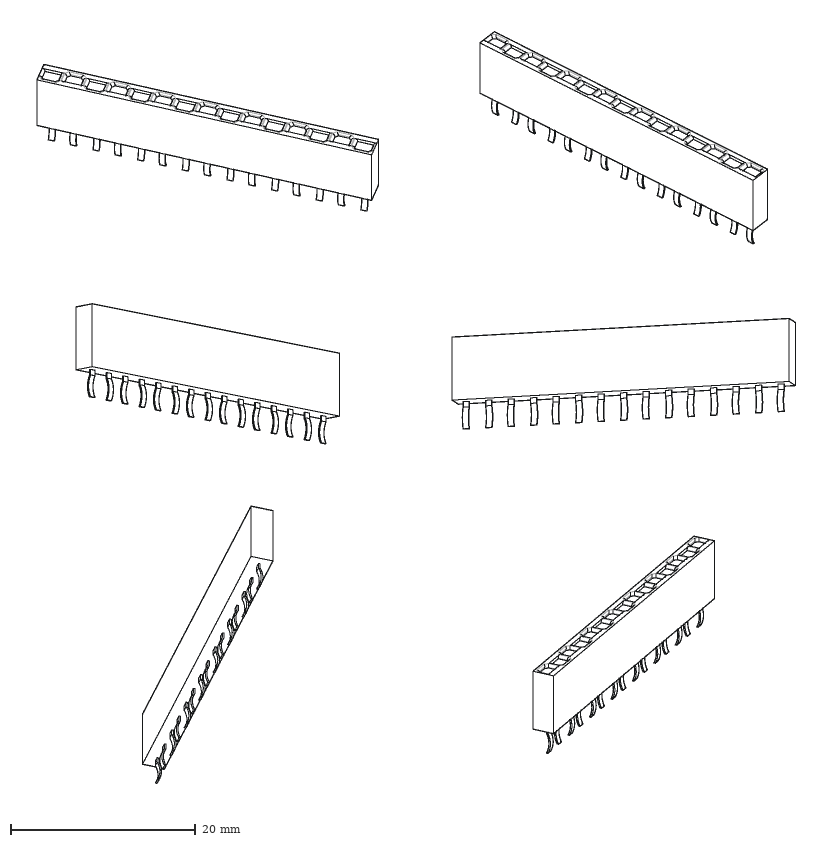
import cadquery as cq
import math

length = 38.1
width = 2.5
total_height = 10.0
pin_count = 15
pitch = length / pin_count

body_height = 6.97

ridge = 0.08
cell_half_length = (pitch - ridge) / 2
cell_plain_side = 0.6
rim_wall = 0.25
cell_flared_side = width / 2 - rim_wall
corner_cut = 0.4
end_radius = 0.3
side_radius = 0.2
cell_depth = 0.4

pin_width = 0.7
pin_thickness = 0.2
stem_length = 0.6
pin_bow = 0.3
pin_tip = body_height - total_height


def make_flared_space(rim_distance, radius, outward_angle):
    """Space inside one wall whose top edge is rounded out to rim_distance, with its rim at Z = 0.

    The wall faces the direction outward_angle, in degrees from +X.
    """
    wall_distance = rim_distance - radius
    return (
        cq.Workplane("XZ")
        .moveTo(-length, 0)
        .lineTo(rim_distance, 0)
        .radiusArc((wall_distance, -radius), -radius)
        .lineTo(wall_distance, -cell_depth)
        .lineTo(-length, -cell_depth)
        .close()
        .extrude(length / 2, both=True)
        .rotate((0, 0, 0), (0, 0, 1), outward_angle)
    )


def make_cell_cutter():
    """Cell facing -Y, with its rim at Z = 0, square-edged on the +Y side only."""
    corner_distance = (cell_half_length + cell_flared_side - corner_cut) / math.sqrt(2)
    room = cq.Workplane("XY").box(pitch, width, 2 * cell_depth)
    cutter = room.translate((0, cell_plain_side - width / 2, 0))
    for angle in (0, 180):
        cutter = cutter.intersect(make_flared_space(cell_half_length, end_radius, angle))
    for angle in (225, 315):
        cutter = cutter.intersect(make_flared_space(corner_distance, end_radius, angle))
    return cutter.intersect(make_flared_space(cell_flared_side, side_radius, 270))


def make_pin():
    """Pin hanging below Z = 0 whose tail bows towards +Y and returns to the centreline."""
    half = pin_thickness / 2
    tail_middle = (pin_tip - stem_length) / 2
    return (
        cq.Workplane("YZ")
        .moveTo(-half, 0)
        .lineTo(half, 0)
        .lineTo(half, -stem_length)
        .threePointArc((pin_bow + half, tail_middle), (half, pin_tip))
        .lineTo(-half, pin_tip)
        .threePointArc((pin_bow - half, tail_middle), (-half, -stem_length))
        .close()
        .extrude(pin_width / 2, both=True)
    )


cell = make_cell_cutter().translate((0, 0, body_height))
pin = make_pin()

result = cq.Workplane("XY").box(length, width, body_height, centered=(True, True, False))
for index in range(pin_count):
    x = (index - (pin_count - 1) / 2) * pitch
    turn = 180 * (index % 2)
    placement = cq.Location(cq.Vector(x, 0, 0), cq.Vector(0, 0, 1), turn)
    result = result.cut(cq.Workplane(cell.val().moved(placement)))
    result = result.union(cq.Workplane(pin.val().moved(placement)))